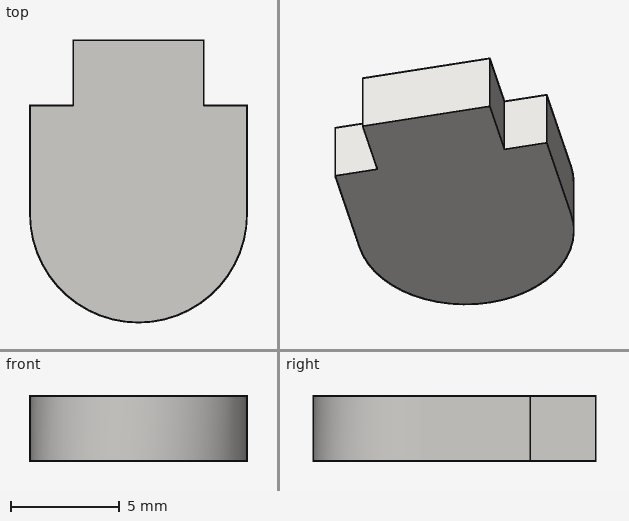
import cadquery as cq

total_length = 13.0
body_width = 10.0
tab_width = 6.0
tab_length = 3.0
thickness = 3.0

end_radius = body_width / 2
tab_end_y = total_length - end_radius
shoulder_y = tab_end_y - tab_length

result = (
    cq.Workplane("XY")
    .moveTo(-end_radius, 0)
    .threePointArc((0, -end_radius), (end_radius, 0))
    .lineTo(end_radius, shoulder_y)
    .lineTo(tab_width / 2, shoulder_y)
    .lineTo(tab_width / 2, tab_end_y)
    .lineTo(-tab_width / 2, tab_end_y)
    .lineTo(-tab_width / 2, shoulder_y)
    .lineTo(-end_radius, shoulder_y)
    .close()
    .extrude(thickness)
)